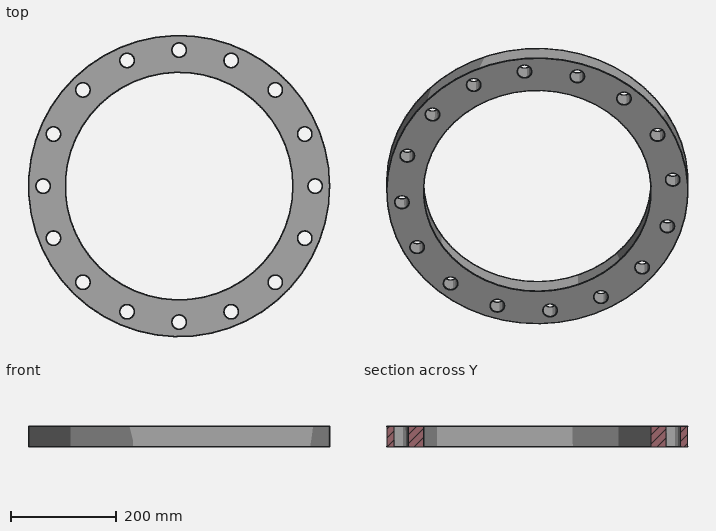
import cadquery as cq

outer_diameter = 571.0
bore_diameter = 430.0
thickness = 40.0

bolt_circle_diameter = 515.0
bolt_hole_diameter = 26.0
bolt_hole_count = 16

edge_chamfer = 0.95


def ring_blank():
    """Plain annular plate standing on the XY plane."""
    return (
        cq.Workplane("XY")
        .circle(outer_diameter / 2)
        .circle(bore_diameter / 2)
        .extrude(thickness)
    )


def bolt_holes():
    """Cylinders for the through holes, the first one on the X axis."""
    return (
        cq.Workplane("XY")
        .polarArray(bolt_circle_diameter / 2, 0, 360, bolt_hole_count)
        .circle(bolt_hole_diameter / 2)
        .extrude(thickness)
    )


drilled_ring = ring_blank().cut(bolt_holes())

result = drilled_ring.faces("<Z or >Z").edges().chamfer(edge_chamfer)